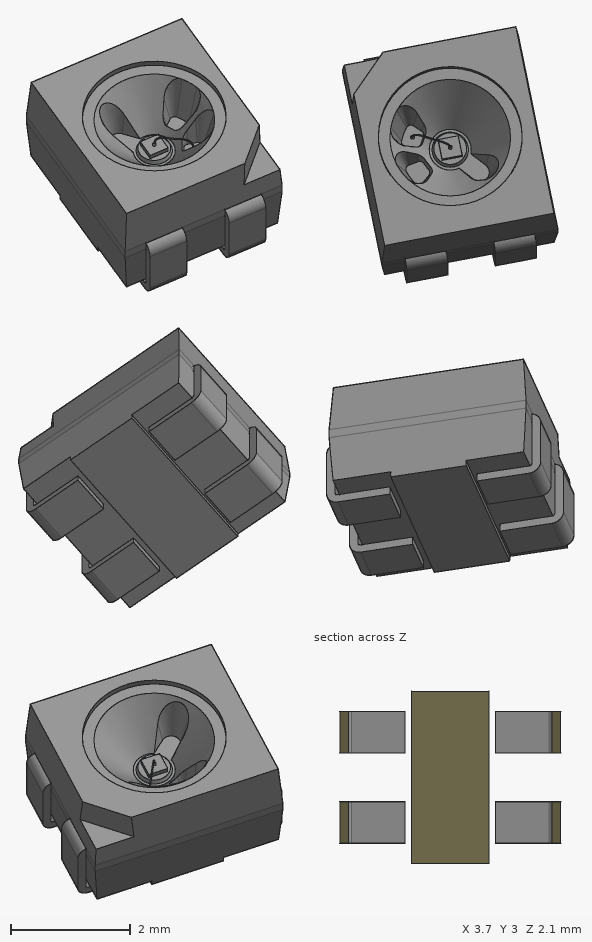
import cadquery as cq
import math

HOUSING_LENGTH = 3.405
HOUSING_WIDTH = 3.0
HOUSING_TOP = 2.1
HOUSING_BOTTOM = 0.207
BAND_TOP = 1.215
BAND_HEIGHT = 0.163
BAND_BOTTOM = BAND_TOP - BAND_HEIGHT
TOP_INSET = 0.06
FOOT_LENGTH = 1.302
FOOT_BOTTOM = 0.107
FOOT_INSET = 0.063

MARK_LEG = 0.74
MARK_DEPTH = 0.5

RIM_DIAMETER = 2.4
RIM_DEPTH = 0.105
BOWL_TOP_RADIUS = 1.005
BOWL_FLOOR_RADIUS = 0.35

WINDOW_REACH = 0.825
POCKET_DRAFT = 13.0
WINDOW_INNER_REACH = 0.495
WINDOW_SPAN = 30.0
WINDOW_CORNER_RADIUS = 0.08
WINDOW_DIRECTIONS = (60.0, 115.0)
SLOT_REACH = 0.788
SLOT_DIRECTION = 220.5
SLOT_WIDTH = 0.32

OVERALL_LENGTH = 3.7
LEAD_THICKNESS = 0.148
LEAD_WIDTH = 0.7
LEAD_PITCH = 1.51
LEAD_OUTER_RADIUS = 0.2
LEAD_INNER_RADIUS = LEAD_OUTER_RADIUS - LEAD_THICKNESS
LEAD_TIP_X = 0.755
PLATE_LENGTH = 2.59
PLATE_WIDTH = LEAD_PITCH + LEAD_WIDTH
PLATE_TOP = 1.205

SEAT_BASE_RADIUS = 0.305
SEAT_TOP_RADIUS = 0.275
SEAT_HEIGHT = 0.07
CHIP_SIDE = 0.345
CHIP_HEIGHT = 0.08
SEAT_TOP = PLATE_TOP + SEAT_HEIGHT
CHIP_TOP = SEAT_TOP + CHIP_HEIGHT

WIRE_DIAMETER = 0.02
WIRE_REACH = 0.665
WIRE_DIRECTION = WINDOW_DIRECTIONS[0]
WIRE_PEAK = 1.517
BOND_RADIUS = 0.035


def tapered_block(start, height, inset):
    """The band outline, drawn in by the inset over the given signed height."""
    draft = math.degrees(math.atan(inset / abs(height)))
    outline = cq.Workplane("XY").workplane(offset=start).rect(HOUSING_LENGTH, HOUSING_WIDTH)
    return outline.extrude(height, taper=draft)


def housing_block():
    """Band with a taper above and below, relieved underneath on both sides of the foot."""
    upper = tapered_block(BAND_TOP, HOUSING_TOP - BAND_TOP, TOP_INSET)
    lower = tapered_block(BAND_BOTTOM, FOOT_BOTTOM - BAND_BOTTOM, FOOT_INSET)
    band = cq.Workplane("XY").workplane(offset=BAND_BOTTOM).rect(HOUSING_LENGTH, HOUSING_WIDTH)
    block = band.extrude(BAND_HEIGHT).union(upper).union(lower)
    relief_length = (HOUSING_LENGTH - FOOT_LENGTH) / 2
    relief_center = (HOUSING_LENGTH + FOOT_LENGTH) / 4
    reliefs = (
        cq.Workplane("XY")
        .workplane(offset=HOUSING_BOTTOM)
        .pushPoints([(-relief_center, 0), (relief_center, 0)])
        .rect(relief_length, HOUSING_WIDTH)
        .extrude(FOOT_BOTTOM - HOUSING_BOTTOM)
    )
    return block.cut(reliefs)


def corner_mark():
    corner_x = HOUSING_LENGTH / 2
    corner_y = HOUSING_WIDTH / 2
    outline = cq.Workplane("XY").workplane(offset=HOUSING_TOP).polyline([
        (corner_x, corner_y),
        (corner_x - MARK_LEG, corner_y),
        (corner_x, corner_y - MARK_LEG),
    ])
    return outline.close().extrude(-MARK_DEPTH)


def bowl():
    """Conical bowl with a wider flat rim recess on top."""
    rim_floor = HOUSING_TOP - RIM_DEPTH
    profile = cq.Workplane("XZ").polyline([
        (0, PLATE_TOP),
        (BOWL_FLOOR_RADIUS, PLATE_TOP),
        (BOWL_TOP_RADIUS, rim_floor),
        (RIM_DIAMETER / 2, rim_floor),
        (RIM_DIAMETER / 2, HOUSING_TOP),
        (0, HOUSING_TOP),
    ])
    return profile.close().revolve(360, (0, 0, 0), (0, 1, 0))


def pocket(outline, direction):
    """Widen an outline upward from the plate to the rim floor, then turn it about the bowl axis."""
    height = HOUSING_TOP - RIM_DEPTH - PLATE_TOP
    solid = outline.extrude(height, taper=-POCKET_DRAFT)
    return solid.rotate((0, 0, 0), (0, 0, 1), direction)


def window_pocket(direction):
    """Sector-shaped pocket with a straight inner edge and an outer arc about the bowl axis."""
    half_span = math.radians(WINDOW_SPAN / 2)
    inner_y = WINDOW_INNER_REACH * math.tan(half_span)
    outer_x = WINDOW_REACH * math.cos(half_span)
    outer_y = WINDOW_REACH * math.sin(half_span)
    sector = (
        cq.Sketch()
        .segment((WINDOW_INNER_REACH, inner_y), (WINDOW_INNER_REACH, -inner_y))
        .segment((outer_x, -outer_y))
        .arc((WINDOW_REACH, 0), (outer_x, outer_y))
        .close()
        .assemble()
        .vertices()
        .fillet(WINDOW_CORNER_RADIUS)
    )
    outline = cq.Workplane("XY").workplane(offset=PLATE_TOP).placeSketch(sector)
    return pocket(outline, direction)


def slot_pocket():
    """Pocket with a round outer end that runs straight out of the bowl floor."""
    half_width = SLOT_WIDTH / 2
    end_center = SLOT_REACH - half_width
    outline = (
        cq.Workplane("XY")
        .workplane(offset=PLATE_TOP)
        .moveTo(0, -half_width)
        .lineTo(end_center, -half_width)
        .threePointArc((SLOT_REACH, 0), (end_center, half_width))
        .lineTo(0, half_width)
        .close()
    )
    return pocket(outline, SLOT_DIRECTION)


def lead(side, center_y):
    """One lead: out of the plate, down the housing wall and back under it."""
    outer_x = OVERALL_LENGTH / 2
    inner_x = outer_x - LEAD_THICKNESS
    bend_x = outer_x - LEAD_OUTER_RADIUS
    top_bend_z = PLATE_TOP - LEAD_OUTER_RADIUS
    plate_bottom = PLATE_TOP - LEAD_THICKNESS
    profile = (
        cq.Workplane("XZ", origin=(0, center_y, 0))
        .moveTo(0, PLATE_TOP)
        .lineTo(bend_x, PLATE_TOP)
        .radiusArc((outer_x, top_bend_z), LEAD_OUTER_RADIUS)
        .lineTo(outer_x, LEAD_OUTER_RADIUS)
        .radiusArc((bend_x, 0), LEAD_OUTER_RADIUS)
        .lineTo(LEAD_TIP_X, 0)
        .lineTo(LEAD_TIP_X, LEAD_THICKNESS)
        .lineTo(bend_x, LEAD_THICKNESS)
        .radiusArc((inner_x, LEAD_OUTER_RADIUS), -LEAD_INNER_RADIUS)
        .lineTo(inner_x, top_bend_z)
        .radiusArc((bend_x, plate_bottom), -LEAD_INNER_RADIUS)
        .lineTo(0, plate_bottom)
        .close()
        .extrude(LEAD_WIDTH / 2, both=True)
    )
    return profile if side > 0 else profile.mirror("YZ")


def plate_with_leads():
    plate = cq.Workplane("XY").workplane(offset=PLATE_TOP).rect(PLATE_LENGTH, PLATE_WIDTH)
    frame = plate.extrude(-LEAD_THICKNESS)
    for side in (-1, 1):
        for center_y in (-LEAD_PITCH / 2, LEAD_PITCH / 2):
            frame = frame.union(lead(side, center_y))
    return frame


def chip_on_seat():
    seat = (
        cq.Workplane("XY")
        .workplane(offset=PLATE_TOP)
        .circle(SEAT_BASE_RADIUS)
        .workplane(offset=SEAT_HEIGHT)
        .circle(SEAT_TOP_RADIUS)
        .loft()
    )
    chip = cq.Workplane("XY").workplane(offset=SEAT_TOP).rect(CHIP_SIDE, CHIP_SIDE)
    return seat.union(chip.extrude(CHIP_HEIGHT))


def bond(x, y, base):
    """Domed bond resting on a flat face."""
    dome = cq.Workplane("XY").sphere(BOND_RADIUS, angle1=0)
    return dome.translate((x, y, base))


def bond_wire():
    """Arched wire with a domed bond at each end."""
    angle = math.radians(WIRE_DIRECTION)
    along_x = math.cos(angle)
    along_y = math.sin(angle)
    plane = cq.Plane(origin=(0, 0, 0), xDir=(along_x, along_y, 0), normal=(along_y, -along_x, 0))
    path = cq.Workplane(plane).spline(
        [(0, CHIP_TOP), (WIRE_REACH / 2, WIRE_PEAK), (WIRE_REACH, PLATE_TOP)],
        tangents=[(0, 1), (1, 0), (0, -1)],
    )
    wire = cq.Workplane("XY").workplane(offset=CHIP_TOP).circle(WIRE_DIAMETER / 2).sweep(path)
    chip_bond = bond(0, 0, CHIP_TOP)
    plate_bond = bond(WIRE_REACH * along_x, WIRE_REACH * along_y, PLATE_TOP)
    return wire.union(chip_bond).union(plate_bond)


frame = plate_with_leads()

housing = housing_block().cut(corner_mark()).cut(bowl()).cut(slot_pocket())
for window_direction in WINDOW_DIRECTIONS:
    housing = housing.cut(window_pocket(window_direction))
housing = housing.cut(frame)

leadframe = frame.union(chip_on_seat()).union(bond_wire())

result = cq.Compound.makeCompound([housing.solids().val(), leadframe.solids().val()])